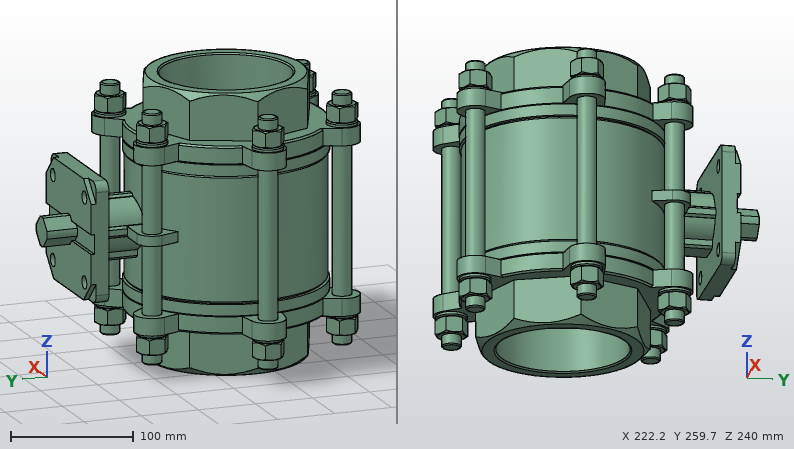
import cadquery as cq
import math


half_length = 120.0
bore_diameter = 100.0
socket_diameter = 110.2
socket_depth = 38.5
socket_floor_angle = 30
socket_chamfer = 1.3
shell_diameter = 167.0
shell_chamfer = 1.8
collar_diameter = 170.0
collar_chamfer = 0.8
collar_inner_z = 54.5
flange_inner_z = 65.0
flange_outer_z = 80.0
flange_chamfer = 1.5

octagon_flats = 134.9
octagon_chamfer_diameter = 132.5
octagon_chamfer_angle = 45

bolt_count = 6
bolt_circle_radius = 96.1
ear_radius = 15.0
ear_taper = 9
ear_root_distance = 72.8
stud_diameter = 16.0
stud_half_length = 106.8
stud_chamfer = 1.0
washer_diameter = 26.0
washer_thickness = 3.0
washer_chamfer = 1.0
nut_flats = 24.0
nut_height = 14.3
nut_chamfer_diameter = 22.9
nut_chamfer_angle = 30

lug_thickness = 8.8
lug_radius = 13.0
lug_taper = 19
lug_root_y = 62.4

neck_radius = 23.6
neck_root_y = 72.8
rib_reach = 25.7
rib_width = 9.4
rib_chamfer = 2.0
foot_width = 25.5
foot_reach = 27.0

plate_size = 103.2
plate_thickness = 15.5
plate_outer_y = 138.0
plate_corner_radius = 7.8
pad_height = 4.5
pad_corner_cut = 17.5
plate_hole_diameter = 11.0
plate_hole_spacing = 72.2
slot_width = 16.5
slot_depth = 2.9

stem_end_y = 161.5
stem_flats = 22.0
stem_corner_diameter = 25.5

flange_thickness = flange_outer_z - flange_inner_z
plate_inner_y = plate_outer_y - plate_thickness
slot_floor_y = plate_outer_y - slot_depth


def cylinder(diameter, z_low, z_high):
    return cq.Workplane("XY").workplane(offset=z_low).circle(diameter / 2).extrude(z_high - z_low)


def along_y(y_start):
    """Workplane at y_start, facing +Y, with its local x along +X and its local y along -Z."""
    return cq.Workplane(cq.Plane(origin=(0, y_start, 0), xDir=(1, 0, 0), normal=(0, 1, 0)))


def mirrored(solid):
    """The solid together with its mirror image below Z = 0."""
    return solid.union(solid.mirror("XY"))


def prism(sides, flats, height):
    """Regular prism standing on Z = 0, with one corner on +X."""
    corner_diameter = flats / math.cos(math.pi / sides)
    return cq.Workplane("XY").polygon(sides, corner_diameter).extrude(height)


def cone_limit(end_diameter, flats, angle, height):
    """Turned blank that trims a prism's top corners, sloping down from end_diameter at the top."""
    radius = flats
    drop = (radius - end_diameter / 2) * math.tan(math.radians(angle))
    return (
        cq.Workplane("XZ")
        .moveTo(0, -radius)
        .lineTo(radius, -radius)
        .lineTo(radius, height - drop)
        .lineTo(end_diameter / 2, height)
        .lineTo(0, height)
        .close()
        .revolve(360, (0, 0, 0), (0, 1, 0))
    )


def tapered_arm(radius, centre_distance, taper, root_distance, thickness):
    """Arm along +X with a round end about centre_distance, widening toward the pipe axis."""
    angle = math.radians(taper)
    tangent_x = centre_distance + radius * math.sin(angle)
    tangent_y = radius * math.cos(angle)
    root_y = tangent_y + (tangent_x - root_distance) * math.tan(angle)
    return (
        cq.Workplane("XY")
        .moveTo(root_distance, -root_y)
        .lineTo(tangent_x, -tangent_y)
        .threePointArc((centre_distance + radius, 0), (tangent_x, tangent_y))
        .lineTo(root_distance, root_y)
        .close()
        .extrude(thickness)
    )


def shell():
    return cylinder(shell_diameter, -collar_inner_z, collar_inner_z).edges().chamfer(shell_chamfer)


def end_cap():
    """Collar, eared flange and octagonal end at the top of the pipe."""
    collar = cylinder(collar_diameter, collar_inner_z, flange_inner_z).edges(">Z").chamfer(collar_chamfer)
    flange = cylinder(collar_diameter, flange_inner_z, flange_outer_z).edges(">Z").chamfer(flange_chamfer)
    ear = tapered_arm(ear_radius, bolt_circle_radius, ear_taper, ear_root_distance, flange_thickness)
    ear = ear.translate((0, 0, flange_inner_z))
    cap = collar.union(flange)
    for index in range(bolt_count):
        cap = cap.union(ear.rotate((0, 0, 0), (0, 0, 1), index * 360 / bolt_count))
    limit = cone_limit(octagon_chamfer_diameter, octagon_flats, octagon_chamfer_angle, half_length)
    return cap.union(prism(8, octagon_flats, half_length).intersect(limit))


def bolt():
    """Stud with a washer and nut at each end, on the Z axis."""
    stud = cylinder(stud_diameter, -stud_half_length, stud_half_length).edges().chamfer(stud_chamfer)
    nut_z = flange_outer_z + washer_thickness
    washer = cylinder(washer_diameter, flange_outer_z, nut_z).edges(">Z").chamfer(washer_chamfer)
    limit = cone_limit(nut_chamfer_diameter, nut_flats, nut_chamfer_angle, nut_height)
    flipped_limit = limit.mirror("XY").translate((0, 0, nut_height))
    nut = prism(6, nut_flats, nut_height).intersect(limit).intersect(flipped_limit)
    nut = nut.rotate((0, 0, 0), (0, 0, 1), 90).translate((0, 0, nut_z))
    return stud.union(mirrored(washer.union(nut)))


def bolts():
    ring = cq.Workplane("XY")
    single_bolt = bolt()
    for index in range(bolt_count):
        angle = math.radians(index * 360 / bolt_count)
        place = (bolt_circle_radius * math.cos(angle), bolt_circle_radius * math.sin(angle), 0)
        ring = ring.union(single_bolt.translate(place))
    return ring


def lug_plate():
    """Plate from the shell around the two studs beside the neck, with rounded outer corners."""
    stud_angle = math.radians(360 / bolt_count)
    stud_x = bolt_circle_radius * math.cos(stud_angle)
    stud_y = bolt_circle_radius * math.sin(stud_angle)
    top_y = stud_y + lug_radius
    taper = math.radians(lug_taper)
    tangent_x = stud_x + lug_radius * math.cos(taper)
    tangent_y = stud_y - lug_radius * math.sin(taper)
    root_x = tangent_x - (tangent_y - lug_root_y) * math.tan(taper)
    middle = math.radians((90 - lug_taper) / 2)
    middle_x = stud_x + lug_radius * math.cos(middle)
    middle_y = stud_y + lug_radius * math.sin(middle)
    return (
        cq.Workplane("XY")
        .workplane(offset=-lug_thickness / 2)
        .moveTo(-root_x, lug_root_y)
        .lineTo(root_x, lug_root_y)
        .lineTo(tangent_x, tangent_y)
        .threePointArc((middle_x, middle_y), (stud_x, top_y))
        .lineTo(-stud_x, top_y)
        .threePointArc((-middle_x, middle_y), (-tangent_x, tangent_y))
        .close()
        .extrude(lug_thickness)
    )


def neck():
    """Round neck with a rib on each side and on top, and a wider foot underneath."""
    length = plate_inner_y - neck_root_y
    start = along_y(neck_root_y)
    side_ribs = start.rect(2 * rib_reach, rib_width).extrude(length).edges("|Y").chamfer(rib_chamfer)
    top_rib = start.center(0, -rib_reach / 2).rect(rib_width, rib_reach).extrude(length)
    top_rib = top_rib.edges("|Y and >Z").chamfer(rib_chamfer)
    foot = start.center(0, foot_reach / 2).rect(foot_width, foot_reach).extrude(length)
    foot = foot.edges("|Y and <Z").chamfer(rib_chamfer)
    return start.circle(neck_radius).extrude(length).union(side_ribs).union(top_rib).union(foot)


def mounting_plate():
    """Square plate whose outer face is an octagonal pad crossed by a slot along X."""
    base = along_y(plate_inner_y).rect(plate_size, plate_size).extrude(plate_thickness - pad_height)
    base = base.edges("|Y").fillet(plate_corner_radius)
    pad = along_y(plate_outer_y - pad_height).rect(plate_size, plate_size).extrude(pad_height)
    plate = base.union(pad.edges("|Y").chamfer(pad_corner_cut))
    slot = along_y(slot_floor_y).rect(plate_size, slot_width).extrude(slot_depth)
    holes = (
        along_y(plate_inner_y)
        .rect(plate_hole_spacing, plate_hole_spacing, forConstruction=True)
        .vertices()
        .circle(plate_hole_diameter / 2)
        .extrude(plate_thickness)
    )
    return plate.cut(slot).cut(holes)


def stem():
    """Square stem end standing on its corner, with the corners turned round."""
    length = stem_end_y - slot_floor_y
    square = along_y(slot_floor_y).rect(stem_flats, stem_flats).extrude(length)
    square = square.rotate((0, 0, 0), (0, 1, 0), 45)
    return square.intersect(along_y(slot_floor_y).circle(stem_corner_diameter / 2).extrude(length))


def bore():
    """Through bore with a wider socket, a conical socket floor and a chamfered mouth at each end."""
    bore_radius = bore_diameter / 2
    socket_radius = socket_diameter / 2
    step_z = half_length - socket_depth
    floor_z = step_z - (socket_radius - bore_radius) * math.tan(math.radians(socket_floor_angle))
    half = (
        cq.Workplane("XZ")
        .moveTo(0, 0)
        .lineTo(bore_radius, 0)
        .lineTo(bore_radius, floor_z)
        .lineTo(socket_radius, step_z)
        .lineTo(socket_radius, half_length - socket_chamfer)
        .lineTo(socket_radius + socket_chamfer, half_length)
        .lineTo(0, half_length)
        .close()
        .revolve(360, (0, 0, 0), (0, 1, 0))
    )
    return mirrored(half)


result = shell().union(mirrored(end_cap())).union(bolts()).union(lug_plate())
result = result.union(neck()).union(mounting_plate()).union(stem()).cut(bore())